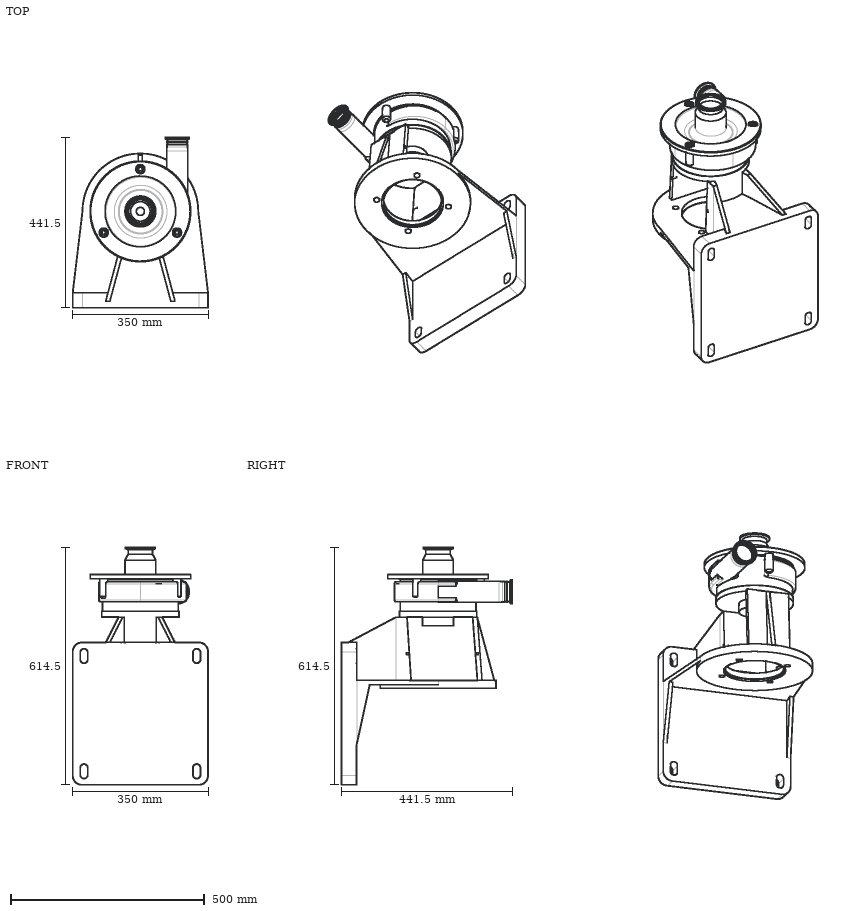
import cadquery as cq
import math


TOTAL_HEIGHT = 614.5

PLATE_WIDTH = 350.0
PLATE_HEIGHT = 369.0
PLATE_THICKNESS = 39.5
PLATE_CORNER_RADIUS = 24.5
PLATE_FRONT_Y = -249.5
PLATE_BACK_Y = PLATE_FRONT_Y + PLATE_THICKNESS
SLOT_LENGTH = 37.0
SLOT_WIDTH = 19.0
SLOT_SPACING_X = 291.0
SLOT_SPACING_Z = 298.0

SHELF_TOP_Z = 270.5
SHELF_RADIUS = 150.0
SHELF_THICKNESS = 21.0
WEB_THICKNESS = 11.5
SHELF_BORE_RADIUS = 75.0
SHELF_RECESS_RADIUS = 80.0
SHELF_RECESS_DEPTH = 5.0
SHELF_BOLT_CIRCLE_RADIUS = 93.5
SHELF_BOLT_HOLE_RADIUS = 7.5

LOWER_RIB_THICKNESS = 10.5
LOWER_RIB_TOP_Y = -176.5
LOWER_RIB_END_Z = 103.0

LEG_TOP_Z = 434.0
LEG_HALF_WIDTH = 56.5
RIB_THICKNESS = 10.5
LEG_PIN_RADIUS = 3.0
LEG_PIN_DEPTH = 12.0
LEG_PIN_Z = 339.0
BACK_LEG_THICKNESS = 12.0
BACK_LEG_TOP_Y = 89.0
BACK_LEG_BOTTOM_Y = 101.5
BACK_RIB_BOTTOM_Y = 145.5
FRONT_LEG_TOP_Y = -80.0
FRONT_LEG_BOTTOM_Y = -69.5
FRONT_LEG_PIN_Y = -79.0
FRONT_RIB_ANGLE = 15.0
FRONT_RIB_START_Y = -109.0
FRONT_RIB_END_Y = -231.5

HUB_RADIUS = 40.5
HUB_BOTTOM_Z = 411.0
BASE_RING_RADIUS = 100.0
BASE_RING_TOP_Z = 449.0
NECK_RADIUS = 98.5
NECK_CHAMFER = 2.5
VOLUTE_BOTTOM_Z = 473.0
VOLUTE_TOP_Z = 525.5
VOLUTE_FILLET = 5.5
VOLUTE_START_RADIUS = 102.0
VOLUTE_GROWTH_PER_QUARTER = 5.5
VOLUTE_SHOULDER_Y = 46.0

COVER_RADIUS = 130.0
COVER_BOTTOM_Z = 533.0
COVER_TOP_Z = 545.0
COVER_EDGE_CHAMFER = 2.0
DISH_RIM_RADIUS = 91.5
DISH_RIM_CHAMFER = 2.5
DISH_CONE_FOOT_RADIUS = 68.0
DISH_CONE_FOOT_Z = 524.0
DISH_FLOOR_OUTER_RADIUS = 58.0
DISH_FLOOR_INNER_RADIUS = 55.0
DISH_FLOOR_Z = 520.5

SCREW_CIRCLE_RADIUS = 109.5
SCREW_ANGLES = (90, 210, 330)
LUG_RADIUS = 10.5
LUG_BOTTOM_Z = 483.0
LUG_CHAMFER = 5.0
COUNTERBORE_RADIUS = 11.5
COUNTERBORE_DEPTH = 8.5
SCREW_HEAD_RADIUS = 9.0
SCREW_HEAD_HEIGHT = 7.5
SCREW_SOCKET_WIDTH = 9.0
SCREW_SOCKET_DEPTH = 5.0

INLET_RADIUS = 40.0
INLET_ROOT_Z = 535.0
INLET_CONE_BOTTOM_Z = 581.5
INLET_CONE_TOP_Z = 596.0
INLET_NECK_RADIUS = 32.0
INLET_FLANGE_RADIUS = 39.0
INLET_BORE_RADIUS = 30.0
INLET_BORE_BOTTOM_Z = 491.5
INLET_FUNNEL_RADIUS = 25.0
INLET_FUNNEL_END_RADIUS = 10.5
INLET_FUNNEL_DEPTH = 15.5

OUTLET_X = 95.0
OUTLET_Z = (VOLUTE_BOTTOM_Z + VOLUTE_TOP_Z) / 2
OUTLET_END_Y = 192.0
OUTLET_RADIUS = 27.5
OUTLET_TUBE_END_Y = 157.5
OUTLET_COLLAR_RADIUS = 27.0
OUTLET_COLLAR_START_Y = 166.5
OUTLET_COLLAR_END_Y = 172.5
OUTLET_BEAD_START_Y = 177.0
OUTLET_BEAD_END_Y = 179.5
OUTLET_NECK_RADIUS = 26.0
OUTLET_FLANGE_RADIUS = 31.5
OUTLET_BORE_RADIUS = 24.0
OUTLET_BORE_START_Y = 74.0

CLAMP_RIM_THICKNESS = 3.5
CLAMP_TAPER_HEIGHT = 3.0
CLAMP_GROOVE_WIDTH = 3.0
CLAMP_GROOVE_DEPTH = 1.0


def cylinder(radius, bottom_z, top_z):
    """Cylinder on the Z axis between two heights."""
    return cq.Workplane("XY", origin=(0, 0, bottom_z)).circle(radius).extrude(top_z - bottom_z)


def side_prism(points_yz, x_min, x_max):
    """Prism along X over a closed outline given as (y, z) points."""
    return cq.Workplane("YZ", origin=(x_min, 0, 0)).polyline(points_yz).close().extrude(x_max - x_min)


def both_sides(body):
    """The body together with its mirror image across the plane X = 0."""
    return body.union(body.mirror("YZ"))


def mounting_plate():
    plate = (
        cq.Workplane("XZ", origin=(0, PLATE_FRONT_Y, PLATE_HEIGHT / 2))
        .rect(PLATE_WIDTH, PLATE_HEIGHT)
        .extrude(-PLATE_THICKNESS)
        .edges("|Y")
        .fillet(PLATE_CORNER_RADIUS)
    )
    slots = (
        cq.Workplane("XZ", origin=(0, PLATE_FRONT_Y, PLATE_HEIGHT / 2))
        .rarray(SLOT_SPACING_X, SLOT_SPACING_Z, 2, 2)
        .slot2D(SLOT_LENGTH, SLOT_WIDTH, 90)
        .extrude(-PLATE_THICKNESS)
    )
    return plate.cut(slots)


def web_prism(bottom_z, inset=0.0):
    """Web plan, with its sides moved inward by the inset, from bottom_z up to the shelf top."""
    flange_x = SHELF_RADIUS - inset
    plate_x = PLATE_WIDTH / 2 - inset
    return (
        cq.Workplane("XY", origin=(0, 0, bottom_z))
        .polyline([(flange_x, 0), (plate_x, PLATE_BACK_Y), (-plate_x, PLATE_BACK_Y), (-flange_x, 0)])
        .close()
        .extrude(SHELF_TOP_Z - bottom_z)
    )


def lower_ribs():
    profile = side_prism(
        [
            (LOWER_RIB_TOP_Y, SHELF_TOP_Z - WEB_THICKNESS),
            (PLATE_BACK_Y, SHELF_TOP_Z - WEB_THICKNESS),
            (PLATE_BACK_Y, LOWER_RIB_END_Z),
        ],
        -PLATE_WIDTH / 2,
        PLATE_WIDTH / 2,
    )
    side_walls = web_prism(LOWER_RIB_END_Z).cut(web_prism(LOWER_RIB_END_Z, LOWER_RIB_THICKNESS))
    return profile.intersect(side_walls)


def shelf():
    bottom_z = SHELF_TOP_Z - SHELF_THICKNESS
    body = cylinder(SHELF_RADIUS, bottom_z, SHELF_TOP_Z)
    body = body.union(web_prism(SHELF_TOP_Z - WEB_THICKNESS)).union(lower_ribs())
    holes = (
        cq.Workplane("XY", origin=(0, 0, SHELF_TOP_Z))
        .polarArray(SHELF_BOLT_CIRCLE_RADIUS, 45, 360, 4)
        .circle(SHELF_BOLT_HOLE_RADIUS)
        .extrude(-SHELF_THICKNESS)
    )
    bore = cylinder(SHELF_BORE_RADIUS, bottom_z, SHELF_TOP_Z)
    recess = cylinder(SHELF_RECESS_RADIUS, bottom_z, bottom_z + SHELF_RECESS_DEPTH)
    return body.cut(holes).cut(bore).cut(recess)


def leg_pin_holes(y):
    """Blind holes entering both side faces of a leg."""
    hole = (
        cq.Workplane("YZ", origin=(LEG_HALF_WIDTH, y, LEG_PIN_Z))
        .circle(LEG_PIN_RADIUS)
        .extrude(-LEG_PIN_DEPTH)
    )
    return both_sides(hole)


def back_leg():
    """Leaning plate with a triangular rib behind it."""
    outer_top_y = BACK_LEG_TOP_Y + BACK_LEG_THICKNESS
    outer_bottom_y = BACK_LEG_BOTTOM_Y + BACK_LEG_THICKNESS
    wall = side_prism(
        [
            (BACK_LEG_TOP_Y, LEG_TOP_Z),
            (BACK_LEG_BOTTOM_Y, SHELF_TOP_Z),
            (outer_bottom_y, SHELF_TOP_Z),
            (outer_top_y, LEG_TOP_Z),
        ],
        -LEG_HALF_WIDTH,
        LEG_HALF_WIDTH,
    )
    rib = side_prism(
        [
            (BACK_LEG_BOTTOM_Y, SHELF_TOP_Z),
            (BACK_RIB_BOTTOM_Y, SHELF_TOP_Z),
            (outer_top_y, LEG_TOP_Z),
            (BACK_LEG_TOP_Y, LEG_TOP_Z),
        ],
        -RIB_THICKNESS / 2,
        RIB_THICKNESS / 2,
    )
    middle_y = (BACK_LEG_TOP_Y + outer_bottom_y) / 2
    return wall.union(rib).cut(leg_pin_holes(middle_y))


def front_leg():
    """Curved wall below the base ring, flanked by two ribs that fan out to the mounting plate."""
    slope = math.tan(math.radians(FRONT_RIB_ANGLE))
    rib_width_x = RIB_THICKNESS / math.cos(math.radians(FRONT_RIB_ANGLE))
    outer_end_x = LEG_HALF_WIDTH + (FRONT_RIB_START_Y - FRONT_RIB_END_Y) * slope
    inner_end_x = outer_end_x - rib_width_x
    inner_start_x = inner_end_x - (FRONT_LEG_BOTTOM_Y - FRONT_RIB_END_Y) * slope
    rib = (
        cq.Workplane("XY", origin=(0, 0, SHELF_TOP_Z))
        .moveTo(LEG_HALF_WIDTH, FRONT_LEG_BOTTOM_Y)
        .lineTo(LEG_HALF_WIDTH, FRONT_RIB_START_Y)
        .lineTo(outer_end_x, FRONT_RIB_END_Y)
        .lineTo(inner_end_x, FRONT_RIB_END_Y)
        .lineTo(inner_start_x, FRONT_LEG_BOTTOM_Y)
        .close()
        .extrude(LEG_TOP_Z - SHELF_TOP_Z)
    )
    profile = side_prism(
        [
            (FRONT_LEG_TOP_Y, LEG_TOP_Z),
            (FRONT_RIB_START_Y, LEG_TOP_Z),
            (FRONT_RIB_END_Y, PLATE_HEIGHT),
            (PLATE_BACK_Y, PLATE_HEIGHT),
            (PLATE_BACK_Y, SHELF_TOP_Z),
            (FRONT_LEG_BOTTOM_Y, SHELF_TOP_Z),
        ],
        -outer_end_x,
        outer_end_x,
    )
    wall = cylinder(BASE_RING_RADIUS, SHELF_TOP_Z, LEG_TOP_Z).intersect(
        cq.Workplane("XY").box(2 * LEG_HALF_WIDTH, 2 * BASE_RING_RADIUS, 2 * TOTAL_HEIGHT)
    )
    leg = both_sides(rib).union(wall).intersect(profile)
    infill = (
        cq.Workplane("XY", origin=(0, 0, SHELF_TOP_Z))
        .moveTo(inner_start_x, FRONT_LEG_TOP_Y)
        .lineTo(inner_end_x, PLATE_BACK_Y)
        .lineTo(-inner_end_x, PLATE_BACK_Y)
        .lineTo(-inner_start_x, FRONT_LEG_TOP_Y)
        .close()
        .extrude(PLATE_HEIGHT - SHELF_TOP_Z)
    )
    leg = leg.union(infill)
    return leg.cut(leg_pin_holes(FRONT_LEG_PIN_Y))


def volute():
    """Casing whose radius grows from the +Y side, counter-clockwise, into the outlet."""

    def spiral_point(angle):
        radius = VOLUTE_START_RADIUS + VOLUTE_GROWTH_PER_QUARTER * (angle - 90) / 90
        return radius * math.cos(math.radians(angle)), radius * math.sin(math.radians(angle))

    outlet_shoulder = (spiral_point(360)[0], VOLUTE_SHOULDER_Y)
    outline = (
        cq.Workplane("XY", origin=(0, 0, VOLUTE_BOTTOM_Z))
        .moveTo(*spiral_point(90))
        .threePointArc(spiral_point(135), spiral_point(180))
        .tangentArcPoint(spiral_point(270), relative=False)
        .tangentArcPoint(spiral_point(360), relative=False)
        .lineTo(*outlet_shoulder)
        .close()
    )
    body = outline.extrude(VOLUTE_TOP_Z - VOLUTE_BOTTOM_Z)
    return body.faces("<Z or >Z").edges().fillet(VOLUTE_FILLET)


def clamp_groove(flange_radius, bore_radius):
    """Ring that cuts a gasket groove below the plane Z = 0, midway across a clamp face."""
    middle = (flange_radius + bore_radius) / 2
    return (
        cq.Workplane("XY")
        .circle(middle + CLAMP_GROOVE_WIDTH / 2)
        .circle(middle - CLAMP_GROOVE_WIDTH / 2)
        .extrude(-CLAMP_GROOVE_DEPTH)
    )


def clamp_tip(end, neck_radius, flange_radius):
    """Profile points of a clamp flange, from the neck out to the rim and back to the axis."""
    rim_start = end - CLAMP_RIM_THICKNESS
    return [
        (neck_radius, rim_start - CLAMP_TAPER_HEIGHT),
        (flange_radius, rim_start),
        (flange_radius, end),
        (0, end),
    ]


def outlet():
    tip = clamp_tip(OUTLET_END_Y, OUTLET_NECK_RADIUS, OUTLET_FLANGE_RADIUS)
    profile = [
        (0, 0),
        (OUTLET_RADIUS, 0),
        (OUTLET_RADIUS, OUTLET_TUBE_END_Y),
        (OUTLET_COLLAR_RADIUS, OUTLET_COLLAR_START_Y),
        (OUTLET_COLLAR_RADIUS, OUTLET_COLLAR_END_Y),
        (OUTLET_NECK_RADIUS, OUTLET_COLLAR_END_Y),
        (OUTLET_NECK_RADIUS, OUTLET_BEAD_START_Y),
        (OUTLET_COLLAR_RADIUS, OUTLET_BEAD_START_Y),
        (OUTLET_COLLAR_RADIUS, OUTLET_BEAD_END_Y),
        (OUTLET_NECK_RADIUS, OUTLET_BEAD_END_Y),
    ] + tip
    return (
        cq.Workplane("XY")
        .polyline(profile)
        .close()
        .revolve(360, (0, 0, 0), (0, 1, 0))
        .translate((OUTLET_X, 0, OUTLET_Z))
    )


def outlet_cuts():
    bore = (
        cq.Workplane("XZ", origin=(OUTLET_X, OUTLET_BORE_START_Y, OUTLET_Z))
        .circle(OUTLET_BORE_RADIUS)
        .extrude(OUTLET_BORE_START_Y - OUTLET_END_Y)
    )
    groove = (
        clamp_groove(OUTLET_FLANGE_RADIUS, OUTLET_BORE_RADIUS)
        .rotate((0, 0, 0), (1, 0, 0), -90)
        .translate((OUTLET_X, OUTLET_END_Y, OUTLET_Z))
    )
    return bore.union(groove)


def casing_and_inlet():
    """Turned body from the hub at the bottom to the inlet clamp flange at the top."""
    profile = [
        (0, HUB_BOTTOM_Z),
        (HUB_RADIUS, HUB_BOTTOM_Z),
        (HUB_RADIUS, LEG_TOP_Z),
        (BASE_RING_RADIUS, LEG_TOP_Z),
        (BASE_RING_RADIUS, BASE_RING_TOP_Z),
        (NECK_RADIUS, BASE_RING_TOP_Z),
        (NECK_RADIUS, COVER_BOTTOM_Z - NECK_CHAMFER),
        (NECK_RADIUS + NECK_CHAMFER, COVER_BOTTOM_Z),
        (COVER_RADIUS, COVER_BOTTOM_Z),
        (COVER_RADIUS, COVER_TOP_Z - COVER_EDGE_CHAMFER),
        (COVER_RADIUS - COVER_EDGE_CHAMFER, COVER_TOP_Z),
        (INLET_RADIUS, COVER_TOP_Z),
        (INLET_RADIUS, INLET_CONE_BOTTOM_Z),
        (INLET_NECK_RADIUS, INLET_CONE_TOP_Z),
    ] + clamp_tip(TOTAL_HEIGHT, INLET_NECK_RADIUS, INLET_FLANGE_RADIUS)
    return cq.Workplane("XZ").polyline(profile).close().revolve(360, (0, 0, 0), (0, 1, 0))


def dish():
    """Ring-shaped hollow of the cover around the inlet: a cone, a floor and a root fillet."""
    cone_foot = (DISH_CONE_FOOT_RADIUS, DISH_CONE_FOOT_Z)
    floor_outer = (DISH_FLOOR_OUTER_RADIUS, DISH_FLOOR_Z)
    floor_inner = (DISH_FLOOR_INNER_RADIUS, DISH_FLOOR_Z)
    inlet_root = (INLET_RADIUS, INLET_ROOT_Z)
    bend = math.sqrt(0.5)
    root_arc_middle = (
        floor_inner[0] + (inlet_root[0] - floor_inner[0]) * bend,
        inlet_root[1] + (floor_inner[1] - inlet_root[1]) * bend,
    )
    return (
        cq.Workplane("XZ")
        .moveTo(DISH_RIM_RADIUS, COVER_TOP_Z)
        .lineTo(DISH_RIM_RADIUS - DISH_RIM_CHAMFER, COVER_TOP_Z - DISH_RIM_CHAMFER)
        .lineTo(*cone_foot)
        .tangentArcPoint(floor_outer, relative=False)
        .lineTo(*floor_inner)
        .threePointArc(root_arc_middle, inlet_root)
        .lineTo(INLET_RADIUS, COVER_TOP_Z)
        .close()
        .revolve(360, (0, 0, 0), (0, 1, 0))
    )


def inlet_cuts():
    """Inlet bore with a funnel at its bottom, and the gasket groove of its flange."""
    bore = cylinder(INLET_BORE_RADIUS, INLET_BORE_BOTTOM_Z, TOTAL_HEIGHT)
    funnel = (
        cq.Workplane("XY", origin=(0, 0, INLET_BORE_BOTTOM_Z))
        .circle(INLET_FUNNEL_RADIUS)
        .workplane(offset=-INLET_FUNNEL_DEPTH)
        .circle(INLET_FUNNEL_END_RADIUS)
        .loft()
    )
    groove = clamp_groove(INLET_FLANGE_RADIUS, INLET_BORE_RADIUS).translate((0, 0, TOTAL_HEIGHT))
    return bore.union(funnel).union(groove)


def at_screws(body):
    """Copies of a body, modelled on the Z axis, at every cover screw."""
    copies = cq.Workplane("XY")
    for angle in SCREW_ANGLES:
        copies = copies.add(body.translate((SCREW_CIRCLE_RADIUS, 0, 0)).rotate((0, 0, 0), (0, 0, 1), angle))
    return copies.combine()


def screw_lug():
    return cylinder(LUG_RADIUS, LUG_BOTTOM_Z, COVER_BOTTOM_Z).faces("<Z").chamfer(LUG_CHAMFER)


def screw_recess():
    """Counterbore around a socket-head screw."""
    seat_z = COVER_TOP_Z - COUNTERBORE_DEPTH
    head_top_z = seat_z + SCREW_HEAD_HEIGHT
    socket = (
        cq.Workplane("XY", origin=(0, 0, head_top_z))
        .polygon(6, SCREW_SOCKET_WIDTH, circumscribed=True)
        .extrude(-SCREW_SOCKET_DEPTH)
    )
    head = cylinder(SCREW_HEAD_RADIUS, seat_z, head_top_z).cut(socket)
    return cylinder(COUNTERBORE_RADIUS, seat_z, COVER_TOP_Z).cut(head)


pump = casing_and_inlet().union(volute()).union(outlet()).union(at_screws(screw_lug()))
pump = pump.cut(dish()).cut(inlet_cuts()).cut(outlet_cuts()).cut(at_screws(screw_recess()))

bracket = mounting_plate().union(shelf()).union(back_leg()).union(front_leg())

result = bracket.union(pump)